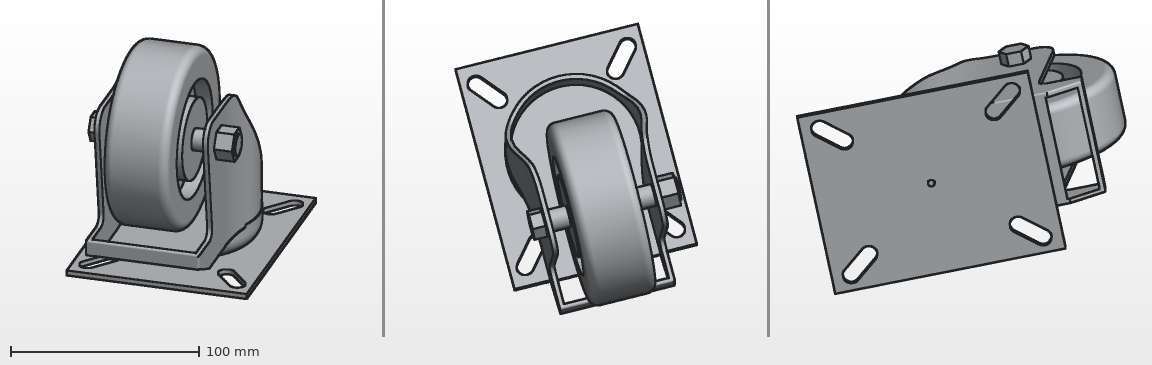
import cadquery as cq
import math


plate_width = 100.0
plate_length = 125.0
plate_thickness = 3.0
slot_radius = 4.5
slot_outer_end = (41.5, 52.0)
slot_inner_end = (32.0, 40.5)

bowl_radius = 37.8
bowl_edge_radius = 10.0
bowl_top = 20.0
pivot_bore_radius = 1.8
pivot_recess_radius = 5.0

wheel_radius = 50.0
wheel_width = 36.0
wheel_edge_radius = 5.0
axle_y = -52.5
axle_z = 85.0
rim_inner_radius = 32.5
hub_radius = 22.5
wheel_recess_depth = 9.0

sheet = 2.75
floor_thickness = 2.0
yoke_radius = 37.5
arm_outer_x = 31.5
arm_start_y = -40.3
yoke_front_y = -88.0
floor_front_y = -67.8
bend_radius = 1.0

yoke_bottom = bowl_top - floor_thickness
yoke_top = 102.1
back_wall_top = 32.0
back_slope_low_y = 19.2
back_slope_high_y = -25.7
front_edge_top_y = -74.2
front_edge_low_y = -64.0
bar_top = 34.4
bar_bottom = 26.0
underside_slope_y = -69.0
profile_radius = 10.0
front_notch_radius = 5.0

axle_radius = 6.0
head_across_flats = 14.0
head_height = 7.0
nut_across_flats = 16.0
nut_height = 10.0
axle_overhang = 1.0


def make_plate():
    plate = cq.Workplane("XY").rect(plate_width, plate_length).extrude(plate_thickness)
    run_x = slot_outer_end[0] - slot_inner_end[0]
    run_y = slot_outer_end[1] - slot_inner_end[1]
    slot_length = math.hypot(run_x, run_y) + 2 * slot_radius
    slot_angle = math.degrees(math.atan2(run_y, run_x))
    middle_x = (slot_outer_end[0] + slot_inner_end[0]) / 2
    middle_y = (slot_outer_end[1] + slot_inner_end[1]) / 2
    for side_x in (-1, 1):
        for side_y in (-1, 1):
            slot = (
                cq.Workplane("XY")
                .center(side_x * middle_x, side_y * middle_y)
                .slot2D(slot_length, 2 * slot_radius, side_x * side_y * slot_angle)
                .extrude(plate_thickness)
            )
            plate = plate.cut(slot)
    return plate


def make_bowl():
    bowl = (
        cq.Workplane("XY", origin=(0, 0, plate_thickness))
        .circle(bowl_radius)
        .extrude(bowl_top - plate_thickness)
    )
    return bowl.faces("<Z").edges().fillet(bowl_edge_radius)


def yoke_outline(inset):
    """Plan outline of the yoke, moved inward by `inset`."""
    blend_radius = (arm_outer_x**2 + arm_start_y**2 - yoke_radius**2) / (2 * (yoke_radius - arm_outer_x))
    blend_center_x = arm_outer_x + blend_radius
    center_angle = math.atan2(arm_start_y, blend_center_x)

    back_radius = yoke_radius - inset
    arm_x = arm_outer_x - inset
    front_y = yoke_front_y + inset
    tangent_x = back_radius * math.cos(center_angle)
    tangent_y = back_radius * math.sin(center_angle)
    half_angle = center_angle / 2
    blend_mid_x = blend_center_x - (blend_radius + inset) * math.cos(half_angle)
    blend_mid_y = arm_start_y - (blend_radius + inset) * math.sin(half_angle)
    return (
        cq.Workplane("XY", origin=(0, 0, yoke_bottom))
        .moveTo(-arm_x, front_y)
        .lineTo(arm_x, front_y)
        .lineTo(arm_x, arm_start_y)
        .threePointArc((blend_mid_x, blend_mid_y), (tangent_x, tangent_y))
        .threePointArc((0, back_radius), (-tangent_x, tangent_y))
        .threePointArc((-blend_mid_x, blend_mid_y), (-arm_x, arm_start_y))
        .close()
    )


def yoke_side_profile():
    """Slab across the whole width, bounded by the side profile of the yoke."""
    profile = (
        cq.Workplane("YZ")
        .polyline(
            [
                (yoke_radius, yoke_bottom),
                (yoke_radius, back_wall_top),
                (back_slope_low_y, back_wall_top),
                (back_slope_high_y, yoke_top),
                (front_edge_top_y, yoke_top),
                (front_edge_low_y, bar_top),
                (yoke_front_y, bar_top),
                (yoke_front_y, bar_bottom),
                (underside_slope_y, yoke_bottom),
            ]
        )
        .close()
        .extrude(yoke_radius, both=True)
    )

    def corner(y, z):
        return cq.selectors.NearestToPointSelector((0, y, z))

    for y, z, radius in (
        (back_slope_low_y, back_wall_top, profile_radius),
        (back_slope_high_y, yoke_top, profile_radius),
        (front_edge_top_y, yoke_top, profile_radius),
        (front_edge_low_y, bar_top, front_notch_radius),
    ):
        profile = profile.edges("|X").edges(corner(y, z)).fillet(radius)
    return profile


def make_yoke():
    height = yoke_top - yoke_bottom
    yoke = yoke_outline(0).extrude(height).intersect(yoke_side_profile())

    slope_y = (yoke_front_y + underside_slope_y) / 2
    slope_z = (bar_bottom + yoke_bottom) / 2
    bar_middle_z = (bar_top + bar_bottom) / 2
    bend_points = [
        (arm_outer_x, slope_y, slope_z),
        (-arm_outer_x, slope_y, slope_z),
        (0, yoke_front_y, bar_top),
        (arm_outer_x, yoke_front_y, bar_middle_z),
    ]
    bends = yoke.faces("<Z").edges().edges("not(|X)")
    for point in bend_points:
        bends = bends.add(yoke.edges(cq.selectors.NearestToPointSelector(point)))
    yoke = yoke.newObject(bends.vals()).fillet(bend_radius)

    cavity = yoke_outline(sheet).extrude(height)
    floor = (
        cq.Workplane("XY", origin=(0, floor_front_y, yoke_bottom))
        .box(2 * yoke_radius, yoke_radius - floor_front_y, floor_thickness, centered=(True, False, False))
    )
    return yoke.cut(cavity.cut(floor))


def axle_plane(x):
    """Workplane across the axle at the given x, facing +X."""
    return cq.Workplane("YZ", origin=(x, axle_y, axle_z))


def make_wheel():
    half_width = wheel_width / 2
    wheel = axle_plane(-half_width).circle(wheel_radius).extrude(wheel_width)
    wheel = wheel.edges().fillet(wheel_edge_radius)
    for start_x in (-half_width, half_width - wheel_recess_depth):
        ring = axle_plane(start_x).circle(rim_inner_radius).circle(hub_radius).extrude(wheel_recess_depth)
        wheel = wheel.cut(ring)
    return wheel


def hexagon(x, across_flats, height):
    corner_diameter = across_flats / math.cos(math.pi / 6)
    return axle_plane(x).polygon(6, corner_diameter).extrude(height)


def make_axle():
    axle_end = arm_outer_x + nut_height + axle_overhang
    shaft = axle_plane(-arm_outer_x).circle(axle_radius).extrude(arm_outer_x + axle_end)
    head = hexagon(-arm_outer_x - head_height, head_across_flats, head_height)
    nut = hexagon(arm_outer_x, nut_across_flats, nut_height)
    return shaft.union(head).union(nut)


def make_pivot_bore():
    bore = cq.Workplane("XY").circle(pivot_bore_radius).extrude(bowl_top)
    recess = (
        cq.Workplane("XY", origin=(0, 0, yoke_bottom))
        .circle(pivot_recess_radius)
        .extrude(floor_thickness)
    )
    return bore.union(recess)


frame = make_plate().union(make_bowl()).union(make_yoke()).cut(make_pivot_bore())
result = frame.union(make_wheel()).union(make_axle())